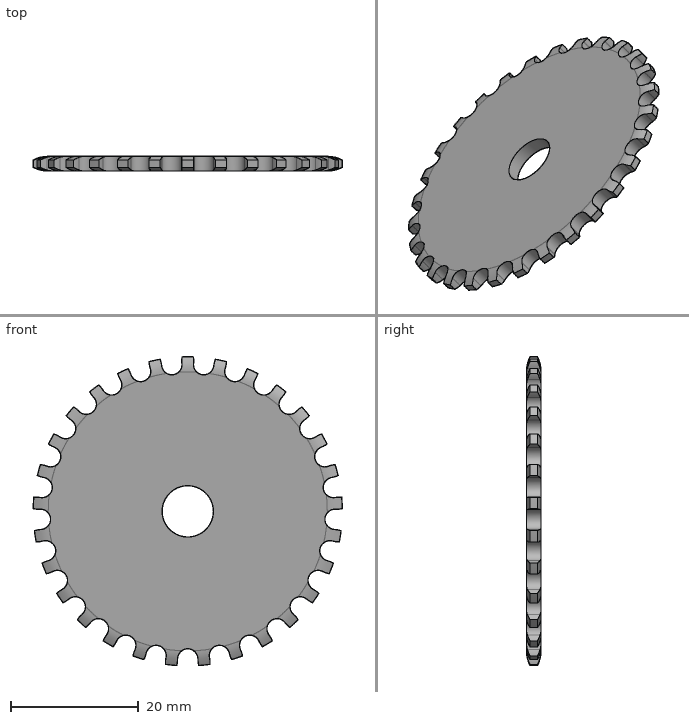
import cadquery as cq
import math

tooth_count = 29
thickness = 2.3
tip_thickness = 1.15
tip_radius = 24.2
face_radius = 21.8
bore_diameter = 8.0
pitch_radius = 23.1
seat_diameter = 3.15
flank_radius = 3.85
gap_overshoot = 0.25

tooth_angle = 360.0 / tooth_count
seat_radius = seat_diameter / 2


def relieved_disc():
    """Disc about Y whose rim curves in on both sides, tangent to the flat faces."""
    half = thickness / 2
    half_tip = tip_thickness / 2
    rise = half - half_tip
    run = tip_radius - face_radius
    relief_radius = (run**2 + rise**2) / (2 * rise)
    mid_angle = math.asin(run / relief_radius) / 2
    mid_r = face_radius + relief_radius * math.sin(mid_angle)
    mid_y = half - relief_radius * (1 - math.cos(mid_angle))
    return (
        cq.Workplane("YZ")
        .moveTo(-half, 0)
        .lineTo(-half, face_radius)
        .threePointArc((-mid_y, mid_r), (-half_tip, tip_radius))
        .lineTo(half_tip, tip_radius)
        .threePointArc((mid_y, mid_r), (half, face_radius))
        .lineTo(half, 0)
        .close()
        .revolve(360, (0, 0, 0), (1, 0, 0))
    )


def flank_x(z):
    """Half width of a tooth gap at height z, where its flank leaves the seat tangentially."""
    return seat_radius + flank_radius - math.sqrt(flank_radius**2 - (z - pitch_radius) ** 2)


def tooth_gap():
    """Cutter for one gap, centred on +Z: a half-round seat opening out along convex flanks."""
    top_z = tip_radius + gap_overshoot
    mid_z = (pitch_radius + top_z) / 2
    return (
        cq.Workplane("XZ", origin=(0, thickness / 2, 0))
        .moveTo(-seat_radius, pitch_radius)
        .threePointArc((0, pitch_radius - seat_radius), (seat_radius, pitch_radius))
        .threePointArc((flank_x(mid_z), mid_z), (flank_x(top_z), top_z))
        .lineTo(-flank_x(top_z), top_z)
        .threePointArc((-flank_x(mid_z), mid_z), (-seat_radius, pitch_radius))
        .close()
        .extrude(thickness)
    )


result = relieved_disc()

gap = tooth_gap()
for i in range(tooth_count):
    result = result.cut(gap.rotate((0, 0, 0), (0, 1, 0), (i + 0.5) * tooth_angle))

bore = cq.Workplane("XZ", origin=(0, thickness / 2, 0)).circle(bore_diameter / 2).extrude(thickness)
result = result.cut(bore)